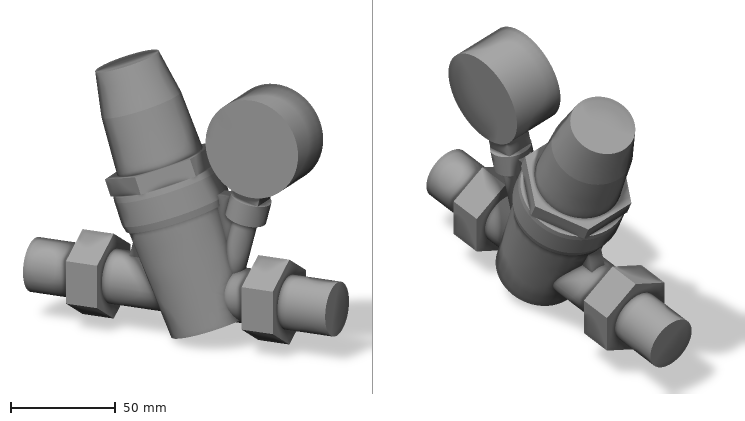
import cadquery as cq
import math

HEX_SIDES = 6
QUARTER_TURN = 90
FULL_TURN = 360

PIPE_LENGTH = 160.0
PIPE_RADIUS = 13.3

PIPE_NUT_FLATS = 37.0
PIPE_NUT_WIDTH = 16.5
PIPE_NUT_CENTERS = (-46.5, 46.5)

BODY_TILT = 20.0
BODY_AXIS_X = 8.5
BODY_BOTTOM_RADIUS = 21.2
BODY_SHOULDER_RADIUS = 24.8
BODY_BOTTOM = -17.5
BODY_SHOULDER = 38.0

BAND_RADIUS = 26.8
BAND_LOWER_RADIUS = 26.0
BAND_UPPER_RADIUS = 26.4
BAND_LOWER_EDGE = 41.4
BAND_UPPER_EDGE = 53.6
BAND_TOP = 56.4

BONNET_NUT_FLATS = 48.0
BONNET_NUT_TOP = 65.2

CAP_BASE_RADIUS = 21.5
CAP_MIDDLE_RADIUS = 20.0
CAP_TOP_RADIUS = 16.0
CAP_MIDDLE = 94.2
CAP_TOP = 116.25

STEM_TILT = 15.0
STEM_AXIS_X = 21.1
STEM_RADIUS = 6.35
COLLAR_RADIUS = 6.8
COLLAR_HEIGHT = 0.9
SOCKET_RADIUS = 10.1
SOCKET_BOTTOM = 40.7
SOCKET_TOP = 51.7
NECK_SIDE = 14.0

GAUGE_RADIUS = 24.5
GAUGE_CENTER_X = 43.4
GAUGE_CENTER_Z = 80.6
GAUGE_FRONT_Y = -18.0
GAUGE_BACK_Y = 10.0

RIB_THICKNESS = 8.0
RIB_TOP_Z = 50.0
RIB_LEFT_X = -31.5


def tilted_plane(axis_x, tilt):
    """Plane on the pipe axis; its normal leans toward +X by the tilt angle."""
    angle = math.radians(tilt)
    return cq.Plane(
        origin=(axis_x, 0, 0),
        xDir=(math.cos(angle), 0, -math.sin(angle)),
        normal=(math.sin(angle), 0, math.cos(angle)),
    )


def hexagon_diameter(flats):
    """Corner-to-corner size of a hexagon from its across-flats size."""
    return flats / math.cos(math.pi / HEX_SIDES)


def make_pipe():
    return cq.Workplane("YZ").circle(PIPE_RADIUS).extrude(PIPE_LENGTH / 2, both=True)


def make_pipe_nut(center_x):
    """Hexagonal union nut with corners pointing up and down."""
    return (
        cq.Workplane("YZ", origin=(center_x, 0, 0))
        .transformed(rotate=(0, 0, QUARTER_TURN))
        .polygon(HEX_SIDES, hexagon_diameter(PIPE_NUT_FLATS))
        .extrude(PIPE_NUT_WIDTH / 2, both=True)
    )


def make_valve_body():
    """Tapered body, chamfered band and tapered cap turned about the leaning axis."""
    plane = tilted_plane(BODY_AXIS_X, -BODY_TILT)
    profile = [
        (0, BODY_BOTTOM),
        (BODY_BOTTOM_RADIUS, BODY_BOTTOM),
        (BODY_SHOULDER_RADIUS, BODY_SHOULDER),
        (BAND_LOWER_RADIUS, BODY_SHOULDER),
        (BAND_RADIUS, BAND_LOWER_EDGE),
        (BAND_RADIUS, BAND_UPPER_EDGE),
        (BAND_UPPER_RADIUS, BAND_TOP),
        (CAP_BASE_RADIUS, BAND_TOP),
        (CAP_BASE_RADIUS, BONNET_NUT_TOP),
        (CAP_MIDDLE_RADIUS, CAP_MIDDLE),
        (CAP_TOP_RADIUS, CAP_TOP),
        (0, CAP_TOP),
    ]
    side_plane = cq.Plane(origin=plane.origin, xDir=plane.xDir, normal=-plane.yDir)
    turned = cq.Workplane(side_plane).polyline(profile).close().revolve(FULL_TURN, (0, 0), (0, 1))
    nut = (
        cq.Workplane(plane)
        .workplane(offset=BAND_TOP)
        .transformed(rotate=(0, 0, QUARTER_TURN))
        .polygon(HEX_SIDES, hexagon_diameter(BONNET_NUT_FLATS))
        .extrude(BONNET_NUT_TOP - BAND_TOP)
    )
    return turned.union(nut)


def make_gauge_stem():
    """Round tube, thin collar, round socket and square neck stacked along the gauge axis."""
    plane = tilted_plane(STEM_AXIS_X, STEM_TILT)
    neck_top = GAUGE_CENTER_Z / math.cos(math.radians(STEM_TILT))
    tube = cq.Workplane(plane).circle(STEM_RADIUS).extrude(SOCKET_BOTTOM)
    collar = (
        cq.Workplane(plane)
        .workplane(offset=SOCKET_BOTTOM - COLLAR_HEIGHT)
        .circle(COLLAR_RADIUS)
        .extrude(COLLAR_HEIGHT)
    )
    socket = (
        cq.Workplane(plane)
        .workplane(offset=SOCKET_BOTTOM)
        .circle(SOCKET_RADIUS)
        .extrude(SOCKET_TOP - SOCKET_BOTTOM)
    )
    neck = (
        cq.Workplane(plane)
        .workplane(offset=SOCKET_TOP)
        .rect(NECK_SIDE, NECK_SIDE)
        .extrude(neck_top - SOCKET_TOP)
    )
    return tube.union(collar).union(socket).union(neck)


def make_gauge():
    return (
        cq.Workplane("XZ", origin=(GAUGE_CENTER_X, GAUGE_FRONT_Y, GAUGE_CENTER_Z))
        .circle(GAUGE_RADIUS)
        .extrude(GAUGE_FRONT_Y - GAUGE_BACK_Y)
    )


def make_rib():
    """Leaning plate that joins the pipe, the body and the gauge stem."""
    lean = RIB_TOP_Z * math.tan(math.radians(STEM_TILT))
    outline = [
        (RIB_LEFT_X, 0),
        (STEM_AXIS_X, 0),
        (STEM_AXIS_X + lean, RIB_TOP_Z),
        (RIB_LEFT_X + lean, RIB_TOP_Z),
    ]
    return cq.Workplane("XZ").polyline(outline).close().extrude(RIB_THICKNESS / 2, both=True)


result = make_pipe()
for nut_center in PIPE_NUT_CENTERS:
    result = result.union(make_pipe_nut(nut_center))
for piece in (make_rib(), make_valve_body(), make_gauge_stem(), make_gauge()):
    result = result.union(piece)